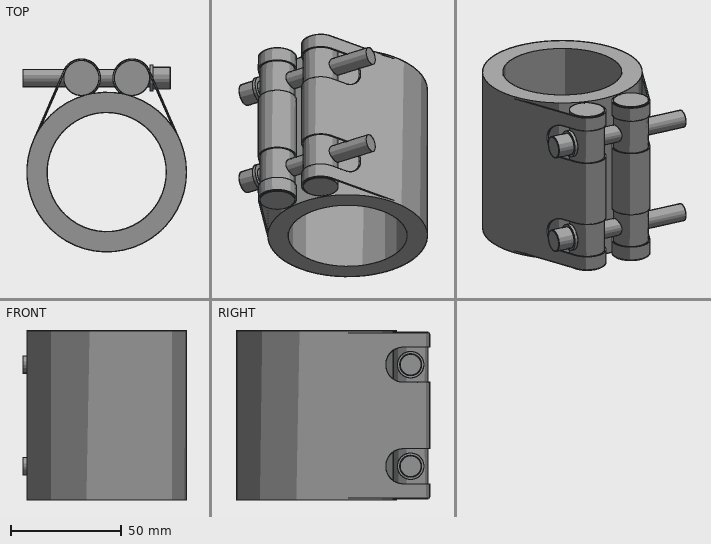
import cadquery as cq
import math

tube_diameter = 72.6
bore_diameter = 54.0
tube_length = 77.0

pin_diameter = 16.0
pin_length = 76.05
pin_x = 11.5
pin_y = 42.7

strap_thickness = 0.7
strap_width = 75.0

notch_diameter = 16.0
notch_center_y = 39.4

bolt_z = 23.1
bolt_diameter = 8.0
bolt_tip_x = -38.1
washer_diameter = 12.0
washer_thickness = 1.5
washer_x = 19.65
head_diameter = 10.0
head_length = 7.9
head_chamfer = 0.3

tube_radius = tube_diameter / 2
pin_radius = pin_diameter / 2
loop_radius = pin_radius + strap_thickness

pin_direction = math.atan2(pin_y, pin_x)
pin_distance = math.hypot(pin_x, pin_y)
tangent_angle = pin_direction - math.acos((tube_radius - loop_radius) / pin_distance)
loop_end_angle = pin_direction + math.pi


def upright_cylinder(diameter, length):
    return cq.Workplane("XY").circle(diameter / 2).extrude(length / 2, both=True)


def rod_along_x(start_x, diameter, length):
    return cq.Workplane("YZ", origin=(start_x, pin_y, 0)).circle(diameter / 2).extrude(length)


def tube_point(radius):
    return radius * math.cos(tangent_angle), radius * math.sin(tangent_angle)


def loop_point(radius, angle):
    return pin_x + radius * math.cos(angle), pin_y + radius * math.sin(angle)


def make_strap():
    """One strap end: flat tail from the tube, then a loop over the +X pin back to the tube."""
    loop_middle_angle = (tangent_angle + loop_end_angle) / 2
    return (
        cq.Workplane("XY")
        .moveTo(*tube_point(tube_radius))
        .lineTo(*loop_point(loop_radius, tangent_angle))
        .threePointArc(loop_point(loop_radius, loop_middle_angle), loop_point(loop_radius, loop_end_angle))
        .lineTo(*loop_point(pin_radius, loop_end_angle))
        .threePointArc(loop_point(pin_radius, loop_middle_angle), loop_point(pin_radius, tangent_angle))
        .lineTo(*tube_point(tube_radius - strap_thickness))
        .close()
        .extrude(strap_width / 2, both=True)
    )


def make_notch(z):
    """Slot through the strap along X, rounded below and open at the top of the loops."""
    half_span = tube_radius
    open_height = pin_y + loop_radius - notch_center_y + strap_thickness
    round_end = (
        cq.Workplane("YZ")
        .center(notch_center_y, z)
        .circle(notch_diameter / 2)
        .extrude(half_span, both=True)
    )
    opening = (
        cq.Workplane("XY")
        .box(2 * half_span, open_height, notch_diameter, centered=(True, False, True))
        .translate((0, notch_center_y, z))
    )
    return round_end.union(opening)


def make_bolt(z):
    head_x = washer_x + washer_thickness
    shank = rod_along_x(bolt_tip_x, bolt_diameter, head_x - bolt_tip_x)
    washer = rod_along_x(washer_x, washer_diameter, washer_thickness)
    head = rod_along_x(head_x, head_diameter, head_length).faces(">X").chamfer(head_chamfer)
    return shank.union(washer).union(head).translate((0, 0, z))


strap_end = make_strap()
straps = strap_end.union(strap_end.mirror("YZ"))
for z in (-bolt_z, bolt_z):
    straps = straps.cut(make_notch(z))

tube = upright_cylinder(tube_diameter, tube_length)
result = tube.union(straps)
for x in (-pin_x, pin_x):
    result = result.union(upright_cylinder(pin_diameter, pin_length).translate((x, pin_y, 0)))
for z in (-bolt_z, bolt_z):
    result = result.union(make_bolt(z))
result = result.cut(upright_cylinder(bore_diameter, tube_length))